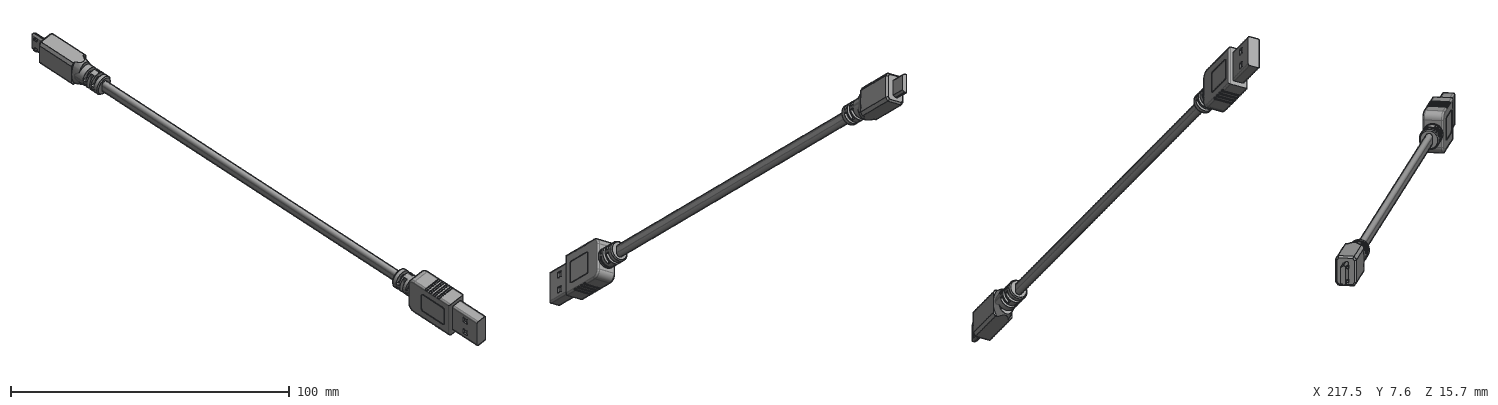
import cadquery as cq

total_length = 217.5
mold_thickness = 7.6

cable_height = 4.8
cable_thickness = 2.6

micro_shell_height = 7.2
micro_shell_back_height = 5.9
micro_shell_thickness = 2.0
micro_shell_fillet = 0.5
latch_start = 1.5
latch_length = 1.3
latch_height = 0.9
latch_offset = 2.6
latch_rise = 0.7

micro_grip_start = 5.7
micro_grip_flat_end = 22.0
micro_grip_end = 24.8
micro_grip_height = 11.0
micro_grip_bevel_y = 0.9
micro_grip_bevel_z = 1.3
micro_grip_front_bevel = 0.7
tail_start_height = 13.5
tail_end_thickness = 6.5
tail_end_height = 10.5

relief_height = 7.6
relief_thickness = 7.2
relief_bevel = 0.5
micro_relief_end = 34.4
usb_relief_start = 177.3
slot_width = 1.3
slot_pitch = 2.0
narrow_slot_width = 0.7
slot_web_z = 1.3
slot_web_y = 2.6
micro_first_slot = 27.9
usb_first_slot = 180.0
usb_last_slot = 184.3

usb_grip_start = 185.5
usb_grip_end = 205.6
usb_grip_height = 15.7
usb_grip_corner = 2.8
usb_grip_edge = 0.7
grip_groove_count = 4
grip_groove_first = 194.0
grip_groove_pitch = 2.0
grip_groove_width = 0.9
grip_groove_depth = 0.5
label_center = 197.4
label_length = 11.0
label_height = 8.5
label_corner = 0.9
label_depth = 0.2

usb_shell_height = 12.2
usb_shell_thickness = 4.5
usb_shell_fillet = 0.7
window_center = 211.7
window_length = 2.0
window_height = 2.2
window_spacing = 5.9
window_depth = 0.7


def block(x_start, x_end, thickness, height):
    """Box between two X stations, centered on the cable axis."""
    length = x_end - x_start
    return cq.Workplane("XY").box(length, thickness, height).translate((x_start + length / 2, 0, 0))


def stadium_rod(x_start, x_end, thickness, height):
    """Rod along X whose section has round ends and flat sides."""
    section = cq.Workplane("YZ", origin=(x_start, 0, 0)).slot2D(height, thickness, 90)
    return section.extrude(x_end - x_start)


def slot_cutter(x_center, width, web, across_z):
    """Pair of cutters that leave a central web at one X station."""
    reach = 2 * mold_thickness
    cutter = block(x_center - width / 2, x_center + width / 2, reach, reach)
    if across_z:
        kept = block(x_center - width, x_center + width, reach, web)
    else:
        kept = block(x_center - width, x_center + width, web, reach)
    return cutter.cut(kept)


def micro_shell():
    half_wide = micro_shell_height / 2
    half_narrow = micro_shell_back_height / 2
    half_thick = micro_shell_thickness / 2
    outline = [
        (-half_thick, -half_wide),
        (0, -half_wide),
        (half_thick, -half_narrow),
        (half_thick, half_narrow),
        (0, half_wide),
        (-half_thick, half_wide),
    ]
    shell = cq.Workplane("YZ").polyline(outline).close().extrude(micro_grip_start + micro_grip_front_bevel)
    shell = shell.faces("<Y").edges("|X").fillet(micro_shell_fillet)
    latch_end = latch_start + latch_length
    latch = block(latch_start, latch_end, 2 * latch_rise, latch_height)
    for side in (-1, 1):
        shell = shell.union(latch.translate((0, -half_thick, side * latch_offset)))
    return shell


def micro_grip():
    half_y = mold_thickness / 2
    half_z = micro_grip_height / 2
    flat_y = half_y - micro_grip_bevel_y
    flat_z = half_z - micro_grip_bevel_z
    section = [
        (-half_y, -flat_z), (-flat_y, -half_z), (flat_y, -half_z), (half_y, -flat_z),
        (half_y, flat_z), (flat_y, half_z), (-flat_y, half_z), (-half_y, flat_z),
    ]
    body = cq.Workplane("YZ", origin=(micro_grip_start, 0, 0)).polyline(section).close()
    body = body.extrude(micro_grip_end - micro_grip_start)
    body = body.faces("<X").chamfer(micro_grip_front_bevel)
    tail = cq.Workplane("YZ", origin=(micro_grip_flat_end, 0, 0)).ellipse(half_y, tail_start_height / 2)
    tail = tail.workplane(offset=micro_grip_end - micro_grip_flat_end)
    tail = tail.ellipse(tail_end_thickness / 2, tail_end_height / 2).loft()
    untrimmed = block(micro_grip_start, micro_grip_flat_end, mold_thickness, micro_grip_height)
    return body.intersect(untrimmed).union(body.intersect(tail))


def strain_relief(x_start, x_end, free_end, first_slot, last_slot, last_slot_width):
    """Rounded sleeve, beveled at its free end, with slots cut in from Z, Y and Z in turn."""
    relief = stadium_rod(x_start, x_end, relief_thickness, relief_height)
    relief = relief.faces(free_end).chamfer(relief_bevel)
    relief = relief.cut(slot_cutter(first_slot, slot_width, slot_web_z, True))
    relief = relief.cut(slot_cutter(first_slot + slot_pitch, slot_width, slot_web_y, False))
    return relief.cut(slot_cutter(last_slot, last_slot_width, slot_web_z, True))


def usb_grip():
    grip = block(usb_grip_start, usb_grip_end, mold_thickness, usb_grip_height)
    grip = grip.edges("|Y and <X").fillet(usb_grip_corner)
    grip = grip.faces("<Y or >Y").edges().fillet(usb_grip_edge)
    for index in range(grip_groove_count):
        x_center = grip_groove_first + index * grip_groove_pitch
        groove = block(
            x_center - grip_groove_width / 2,
            x_center + grip_groove_width / 2,
            mold_thickness,
            2 * grip_groove_depth,
        )
        for side in (-1, 1):
            grip = grip.cut(groove.translate((0, 0, side * usb_grip_height / 2)))
    label_start = label_center - label_length / 2
    label = block(label_start, label_start + label_length, 2 * label_depth, label_height)
    label = label.edges("|Y").fillet(label_corner)
    for side in (-1, 1):
        grip = grip.cut(label.translate((0, side * mold_thickness / 2, 0)))
    return grip


def usb_shell():
    shell = block(usb_grip_end - usb_grip_edge, total_length, usb_shell_thickness, usb_shell_height)
    shell = shell.edges("|X").fillet(usb_shell_fillet)
    window_start = window_center - window_length / 2
    window = block(window_start, window_start + window_length, 2 * window_depth, window_height)
    for side_y in (-1, 1):
        for side_z in (-1, 1):
            y_place = side_y * usb_shell_thickness / 2
            z_place = side_z * window_spacing / 2
            shell = shell.cut(window.translate((0, y_place, z_place)))
    return shell


usb_embed_end = usb_grip_start + usb_grip_edge
cable = stadium_rod(micro_grip_flat_end, usb_embed_end, cable_thickness, cable_height)
micro_last_slot = micro_first_slot + 2 * slot_pitch
micro_relief = strain_relief(
    micro_grip_flat_end, micro_relief_end, ">X", micro_first_slot, micro_last_slot, slot_width
)
usb_relief = strain_relief(
    usb_relief_start, usb_embed_end, "<X", usb_first_slot, usb_last_slot, narrow_slot_width
)

result = cable
for piece in (micro_shell(), micro_grip(), micro_relief, usb_relief, usb_grip(), usb_shell()):
    result = result.union(piece)